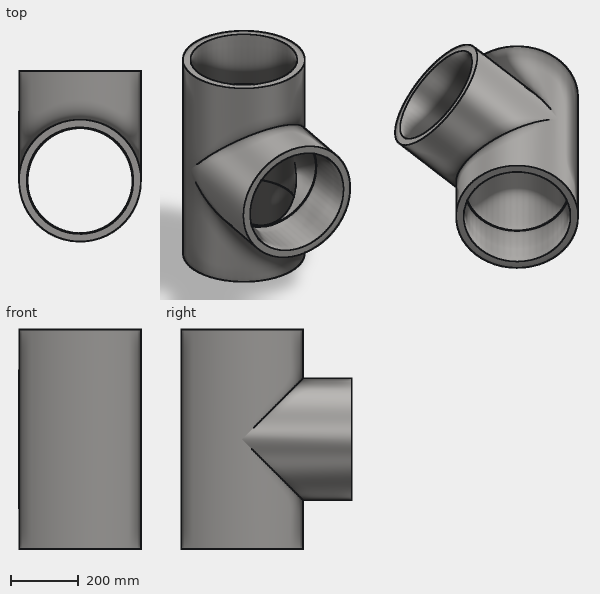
import cadquery as cq

run_length = 648.0
outer_diameter = 360.0
bore_diameter = 309.0
socket_diameter = 315.0
socket_depth = 165.0

half_length = run_length / 2
branch_length = half_length


def tee_of_diameter(diameter):
    """Solid cylinders along the run and the branch, joined at the origin."""
    run = cq.Workplane("XY").circle(diameter / 2).extrude(half_length, both=True)
    branch = cq.Workplane("XZ").circle(diameter / 2).extrude(-branch_length)
    return run.union(branch)


def socket(opening_center, inward):
    """Cylinder that widens the bore from an opening inward."""
    opening = cq.Plane(origin=opening_center, normal=inward)
    return cq.Workplane(opening).circle(socket_diameter / 2).extrude(socket_depth)


result = tee_of_diameter(outer_diameter).cut(tee_of_diameter(bore_diameter))

for outward in [(0, 0, 1), (0, 0, -1), (0, 1, 0)]:
    center = tuple(half_length * part for part in outward)
    inward = tuple(-part for part in outward)
    result = result.cut(socket(center, inward))